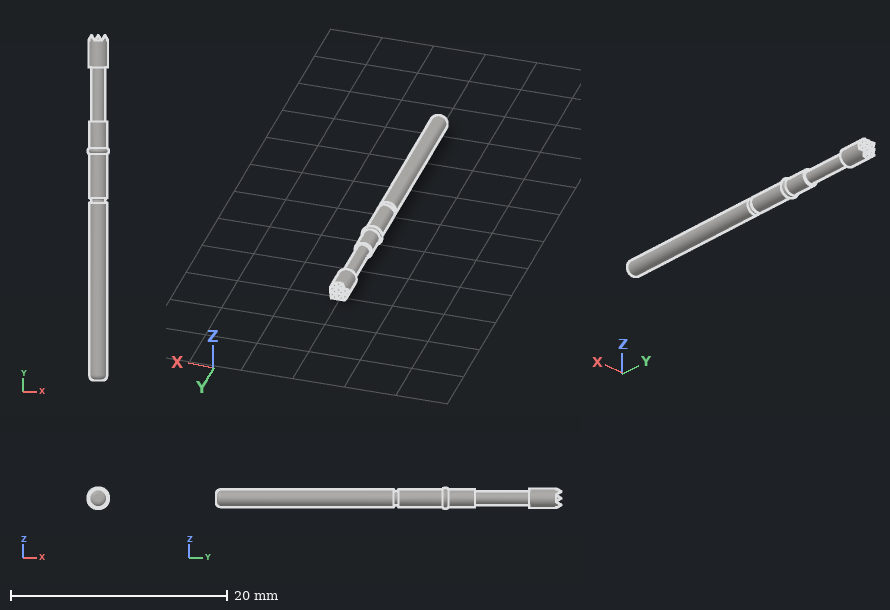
import cadquery as cq
import math


total_length = 32.0
head_length = 3.0
plunger_exposed_length = 5.0
ring_from_barrel_mouth = 2.75
groove_from_barrel_mouth = 7.32

head_diameter = 1.84
plunger_diameter = 1.3
barrel_diameter = 1.67
ring_diameter = 2.0

ring_width = 0.58
groove_depth = 0.18
groove_width = 0.45
tail_fillet = 0.46

tooth_pitch = 0.62
tooth_angle = 60.0
slots_per_direction = 4

head_base_y = total_length - head_length
barrel_mouth_y = head_base_y - plunger_exposed_length
ring_y = barrel_mouth_y - ring_from_barrel_mouth
groove_y = barrel_mouth_y - groove_from_barrel_mouth
tooth_depth = tooth_pitch / 2 / math.tan(math.radians(tooth_angle / 2))


def rod(diameter, start_y, end_y):
    """Solid cylinder on the Y axis between two Y positions."""
    direction = cq.Vector(0, 1, 0)
    base = cq.Vector(0, start_y, 0)
    return cq.Workplane(cq.Solid.makeCylinder(diameter / 2, end_y - start_y, base, direction))


def turned(profile):
    """Revolve a closed XY profile about the Y axis."""
    return profile.revolve(360, (0, 0, 0), (0, 1, 0))


def make_barrel():
    """Barrel body with a rounded tail, a press ring and a round-bottomed groove."""
    barrel = rod(barrel_diameter, 0, barrel_mouth_y)
    barrel = barrel.faces("<Y").edges().fillet(tail_fillet)

    barrel_radius = barrel_diameter / 2
    ring_profile = (
        cq.Workplane("XY")
        .moveTo(0, ring_y - ring_width / 2)
        .lineTo(barrel_radius, ring_y - ring_width / 2)
        .threePointArc((ring_diameter / 2, ring_y), (barrel_radius, ring_y + ring_width / 2))
        .lineTo(0, ring_y + ring_width / 2)
        .close()
    )
    ring = turned(ring_profile)

    groove_profile = (
        cq.Workplane("XY")
        .moveTo(barrel_radius, groove_y - groove_width / 2)
        .threePointArc((barrel_radius - groove_depth, groove_y), (barrel_radius, groove_y + groove_width / 2))
        .close()
    )
    return barrel.union(ring).cut(turned(groove_profile))


def make_tooth_slot(offset):
    """V slot running along Z across the head end, its bottom at x = offset."""
    return (
        cq.Workplane("XY")
        .moveTo(offset - tooth_pitch / 2, total_length)
        .lineTo(offset, total_length - tooth_depth)
        .lineTo(offset + tooth_pitch / 2, total_length)
        .close()
        .extrude(head_diameter, both=True)
    )


def make_head():
    """Cylindrical head whose end is cut into a three by three grid of points."""
    head = rod(head_diameter, head_base_y, total_length)
    for index in range(slots_per_direction):
        offset = (index - (slots_per_direction - 1) / 2) * tooth_pitch
        slot = make_tooth_slot(offset)
        head = head.cut(slot)
        head = head.cut(slot.rotate((0, 0, 0), (0, 1, 0), 90))
    return head


plunger = rod(plunger_diameter, barrel_mouth_y, head_base_y)
result = make_barrel().union(plunger).union(make_head())